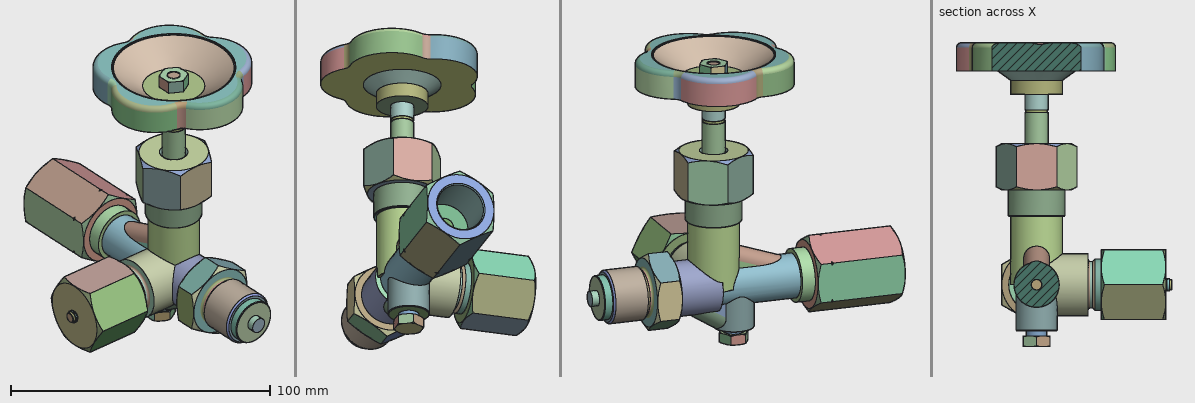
import cadquery as cq
import math


NUT_FLATS = 27.0
NUT_FACE_DIA = 26.8
THREAD_DIA = 20.95
RELIEF_RADIUS = 0.8
SMALL_CHAMFER = 0.3

INLET_END = 74.0
INLET_NUT_LENGTH = 36.0
INLET_COLLAR_LENGTH = 5.3
INLET_COLLAR_DIA = 20.95
INLET_ARM_DIA = 17.5
INLET_BORE_DIA = 18.63
INLET_MOUTH_DIA = 19.6
INLET_BORE_DEPTH = 20.0
PASSAGE_DIA = 4.0
PASSAGE_MOUTH_DIA = 7.0
NOTCH_POSITION = 43.9
NOTCH_DEPTH = 0.4
NOTCH_HALF_WIDTH = 0.4

OUTLET_ARM_DIA = 21.5
OUTLET_NUT_START = 17.8
OUTLET_NUT_LENGTH = 10.3
OUTLET_RELIEF_DIA = 18.4
OUTLET_THREAD_START = 30.8
OUTLET_THREAD_END = 44.8
OUTLET_THREAD_CHAMFER = 0.7
OUTLET_TIP_DIA = 17.5
OUTLET_TIP_END = 48.1
OUTLET_PIN_DIA = 6.0
OUTLET_END = 51.0

TEST_BOSS_DIA = 24.0
TEST_BOSS_END = 19.9
TEST_RELIEF_DIA = 18.0
TEST_THREAD_DIA = 20.0
TEST_THREAD_START = 22.6
TEST_NUT_START = 24.9
TEST_NUT_LENGTH = 25.0
TEST_PIN_DIA = 4.0
TEST_PIN_LENGTH = 2.39
TEST_PIN_CHAMFER = 0.2
TEST_RING_DIA = 4.92
TEST_RING_START = 0.5
TEST_RING_WIDTH = 0.8

STEM_DIA = 20.0
BONNET_DIA = 22.0
BONNET_BOTTOM = 26.4
BONNET_NUT_BOTTOM = 36.5
BONNET_NUT_LENGTH = 18.0
SPINDLE_DIA = 9.0
SPINDLE_GROOVE_DIA = 8.4
SPINDLE_GROOVE_BOTTOM = 66.4
SPINDLE_GROOVE_WIDTH = 1.1
SPINDLE_MOUTH_DIA = 11.0

WHEEL_TOP = 93.4
WHEEL_RIM_HEIGHT = 11.0
WHEEL_HUB_DIA = 20.0
WHEEL_HUB_BOTTOM = 73.4
WHEEL_HUB_TOP = 78.8
WHEEL_CONE_DIA = 30.0
LOBE_COUNT = 5
LOBE_RADIUS = 16.7
LOBE_OFFSET = 14.8
LOBE_BLEND_RADIUS = 4.0
WHEEL_TURN = 2.6
WHEEL_TOP_FILLET = 2.0
BOWL_TOP_DIA = 48.0
BOWL_BOTTOM_DIA = 24.0
BOWL_DEPTH = 8.5
BOWL_EDGE_CHAMFER = 0.3
WHEEL_NUT_FLATS = 10.0
WHEEL_NUT_FACE_DIA = 10.8
WHEEL_NUT_HEIGHT = 5.0
WHEEL_SCREW_DIA = 5.0
WHEEL_SCREW_RECESS = 0.4

VENT_X = -8.25
VENT_BOSS_DIA = 16.0
VENT_BOSS_BOTTOM = -17.8
VENT_NECK_DIA = 8.0
VENT_HEAD_TOP = -19.8
VENT_HEAD_HEIGHT = 4.03
VENT_HEAD_FLATS = 10.4
VENT_HEAD_FACE_DIA = 10.8

UPPER_RIB_WIDTH = 10.0
UPPER_RIB_SLOPE = 19.2
UPPER_RIB_FOOT_X = -27.6
LOWER_RIB_WIDTH = 12.0
LOWER_RIB_SLOPE = 32.0

ALONG_MINUS_X = cq.Plane(origin=(0, 0, 0), xDir=(0, 0, 1), normal=(-1, 0, 0))
ALONG_PLUS_X = cq.Plane(origin=(0, 0, 0), xDir=(0, 0, 1), normal=(1, 0, 0))
ALONG_MINUS_Y = cq.Plane(origin=(0, 0, 0), xDir=(1, 0, 0), normal=(0, -1, 0))
ALONG_PLUS_Z = cq.Plane(origin=(0, 0, 0), xDir=(1, 0, 0), normal=(0, 0, 1))
ALONG_PLUS_Z_TURNED = cq.Plane(origin=(0, 0, 0), xDir=(0, 1, 0), normal=(0, 0, 1))


def rod(plane, start, end, dia):
    """Cylinder along the plane normal between two distances from the plane."""
    return cq.Workplane(plane).workplane(offset=start).circle(dia / 2).extrude(end - start)


def cone(plane, start, end, start_dia, end_dia):
    """Cone frustum along the plane normal."""
    base = cq.Workplane(plane).workplane(offset=start).circle(start_dia / 2)
    return base.workplane(offset=end - start).circle(end_dia / 2).loft(ruled=True)


def hexagon(plane, start, length, flats, face_dia, both_ends=True):
    """Hexagon prism, one corner on the plane's x direction, with 30 degree corner chamfers."""
    corner_dia = flats / math.cos(math.pi / 6)
    drop = (corner_dia - face_dia) / 2 * math.tan(math.pi / 6)
    end = start + length
    prism = cq.Workplane(plane).workplane(offset=start).polygon(6, corner_dia).extrude(length)
    envelope = cone(plane, end - drop, end, corner_dia, face_dia)
    lower = start
    if both_ends:
        lower = start + drop
        envelope = envelope.union(cone(plane, start, lower, face_dia, corner_dia))
    envelope = envelope.union(rod(plane, lower, end - drop, corner_dia))
    return prism.intersect(envelope)


def relief(plane, start, end, dia, thread_dia):
    """Thread undercut: rounded at its start, then flat, then rising at 45 degrees to the thread."""
    rise = (thread_dia - dia) / 2
    neck = rod(plane, start, end, dia)
    foot_dia = dia + 2 * RELIEF_RADIUS
    foot = rod(plane, start, start + RELIEF_RADIUS, foot_dia)
    ring_centre = plane.origin + plane.zDir * (start + RELIEF_RADIUS)
    ring = cq.Solid.makeTorus(foot_dia / 2, RELIEF_RADIUS, ring_centre, plane.zDir)
    return neck.union(foot.cut(cq.Workplane(ring))).union(cone(plane, end - rise, end, dia, thread_dia))


def inlet_arm():
    nut_start = INLET_END - INLET_NUT_LENGTH
    collar_start = nut_start - INLET_COLLAR_LENGTH
    arm = rod(ALONG_MINUS_X, 0, nut_start, INLET_ARM_DIA)
    arm = arm.union(rod(ALONG_MINUS_X, collar_start, nut_start, INLET_COLLAR_DIA))
    nut = hexagon(ALONG_MINUS_X, nut_start, INLET_NUT_LENGTH, NUT_FLATS, NUT_FACE_DIA)
    return arm.union(nut.cut(corner_notch()))


def corner_notch():
    """V-shaped ring that nicks only the corners of the inlet nut.

    It reaches as far outside the corners as it cuts into them, so it is twice as wide at its rim.
    """
    corner_radius = NUT_FLATS / 2 / math.cos(math.pi / 6)
    outer = corner_radius + NOTCH_DEPTH
    half_width = 2 * NOTCH_HALF_WIDTH
    profile = [
        (-NOTCH_POSITION, corner_radius - NOTCH_DEPTH),
        (-NOTCH_POSITION - half_width, outer),
        (-NOTCH_POSITION + half_width, outer),
    ]
    return cq.Workplane("XZ").polyline(profile).close().revolve(360, (0, 0, 0), (1, 0, 0))


def inlet_bore():
    bottom = INLET_END - INLET_BORE_DEPTH
    mouth_depth = (INLET_MOUTH_DIA - INLET_BORE_DIA) / 2
    cone_depth = (PASSAGE_MOUTH_DIA - PASSAGE_DIA) / 2
    bore = rod(ALONG_MINUS_X, bottom, INLET_END, INLET_BORE_DIA)
    mouth_start = INLET_END - mouth_depth
    bore = bore.union(cone(ALONG_MINUS_X, mouth_start, INLET_END, INLET_BORE_DIA, INLET_MOUTH_DIA))
    bore = bore.union(cone(ALONG_MINUS_X, bottom - cone_depth, bottom, PASSAGE_DIA, PASSAGE_MOUTH_DIA))
    return bore.union(rod(ALONG_MINUS_X, 0, bottom, PASSAGE_DIA))


def outlet_arm():
    nut_end = OUTLET_NUT_START + OUTLET_NUT_LENGTH
    arm = rod(ALONG_PLUS_X, 0, OUTLET_NUT_START, OUTLET_ARM_DIA)
    arm = arm.union(hexagon(ALONG_PLUS_X, OUTLET_NUT_START, OUTLET_NUT_LENGTH, NUT_FLATS, NUT_FACE_DIA))
    arm = arm.union(relief(ALONG_PLUS_X, nut_end, OUTLET_THREAD_START, OUTLET_RELIEF_DIA, THREAD_DIA))
    thread = rod(ALONG_PLUS_X, OUTLET_THREAD_START, OUTLET_THREAD_END, THREAD_DIA)
    tip = rod(ALONG_PLUS_X, OUTLET_THREAD_END, OUTLET_TIP_END, OUTLET_TIP_DIA)
    arm = arm.union(thread.faces(">X").chamfer(OUTLET_THREAD_CHAMFER))
    arm = arm.union(tip.faces(">X").chamfer(SMALL_CHAMFER))
    return arm.union(rod(ALONG_PLUS_X, OUTLET_TIP_END, OUTLET_END, OUTLET_PIN_DIA))


def test_connection():
    nut_end = TEST_NUT_START + TEST_NUT_LENGTH
    ring_start = nut_end + TEST_RING_START
    boss = rod(ALONG_MINUS_Y, 0, TEST_BOSS_END, TEST_BOSS_DIA)
    neck = relief(ALONG_MINUS_Y, TEST_BOSS_END, TEST_THREAD_START, TEST_RELIEF_DIA, TEST_THREAD_DIA)
    boss = boss.union(neck)
    boss = boss.union(rod(ALONG_MINUS_Y, TEST_THREAD_START, TEST_NUT_START, TEST_THREAD_DIA))
    boss = boss.union(hexagon(ALONG_MINUS_Y, TEST_NUT_START, TEST_NUT_LENGTH, NUT_FLATS, NUT_FACE_DIA))
    pin = rod(ALONG_MINUS_Y, nut_end, nut_end + TEST_PIN_LENGTH, TEST_PIN_DIA)
    boss = boss.union(pin.faces("<Y").chamfer(TEST_PIN_CHAMFER))
    return boss.union(rod(ALONG_MINUS_Y, ring_start, ring_start + TEST_RING_WIDTH, TEST_RING_DIA))


def bonnet_and_spindle():
    nut_top = BONNET_NUT_BOTTOM + BONNET_NUT_LENGTH
    groove_top = SPINDLE_GROOVE_BOTTOM + SPINDLE_GROOVE_WIDTH
    mouth_depth = (SPINDLE_MOUTH_DIA - SPINDLE_DIA) / 2
    stem = rod(ALONG_PLUS_Z, 0, BONNET_BOTTOM, STEM_DIA)
    bonnet = rod(ALONG_PLUS_Z, BONNET_BOTTOM, BONNET_NUT_BOTTOM, BONNET_DIA)
    bonnet = bonnet.faces("<Z").chamfer(SMALL_CHAMFER)
    nut = hexagon(ALONG_PLUS_Z_TURNED, BONNET_NUT_BOTTOM, BONNET_NUT_LENGTH, NUT_FLATS, NUT_FACE_DIA)
    nut = nut.cut(cone(ALONG_PLUS_Z, nut_top - mouth_depth, nut_top, SPINDLE_DIA, SPINDLE_MOUTH_DIA))
    spindle = rod(ALONG_PLUS_Z, BONNET_NUT_BOTTOM, SPINDLE_GROOVE_BOTTOM, SPINDLE_DIA)
    spindle = spindle.union(rod(ALONG_PLUS_Z, SPINDLE_GROOVE_BOTTOM, groove_top, SPINDLE_GROOVE_DIA))
    spindle = spindle.union(rod(ALONG_PLUS_Z, groove_top, WHEEL_HUB_BOTTOM, SPINDLE_DIA))
    return stem.union(bonnet).union(nut).union(spindle)


def polar(radius, angle):
    return (radius * math.cos(angle), radius * math.sin(angle))


def wheel_outline(plane):
    """Five outward lobes joined by small inward blends, all tangent arcs."""
    half_pitch = math.pi / LOBE_COUNT
    side = LOBE_OFFSET * math.sin(half_pitch)
    reach = LOBE_OFFSET * math.cos(half_pitch)
    blend_centre = reach + math.sqrt((LOBE_RADIUS + LOBE_BLEND_RADIUS) ** 2 - side**2)
    share = LOBE_RADIUS / (LOBE_RADIUS + LOBE_BLEND_RADIUS)
    along = reach * (1 - share) + blend_centre * share
    across = side * (1 - share)
    tangent_radius = math.hypot(along, across)
    tangent_angle = math.atan2(across, along)

    turn = math.radians(WHEEL_TURN)
    outline = plane.moveTo(*polar(tangent_radius, turn - half_pitch + tangent_angle))
    for lobe in range(LOBE_COUNT):
        middle = turn + 2 * half_pitch * lobe
        valley = middle + half_pitch
        outline = outline.threePointArc(
            polar(LOBE_OFFSET + LOBE_RADIUS, middle), polar(tangent_radius, valley - tangent_angle)
        )
        outline = outline.threePointArc(
            polar(blend_centre - LOBE_BLEND_RADIUS, valley), polar(tangent_radius, valley + tangent_angle)
        )
    return outline.close()


def handwheel():
    rim_bottom = WHEEL_TOP - WHEEL_RIM_HEIGHT
    bowl_bottom = WHEEL_TOP - BOWL_DEPTH
    rim = wheel_outline(cq.Workplane("XY").workplane(offset=rim_bottom)).extrude(WHEEL_RIM_HEIGHT)
    rim = rim.faces(">Z").edges().fillet(WHEEL_TOP_FILLET)
    bowl_edge = WHEEL_TOP - BOWL_EDGE_CHAMFER
    bowl_dia = BOWL_TOP_DIA - 2 * BOWL_EDGE_CHAMFER
    wheel = rim.cut(cone(ALONG_PLUS_Z, bowl_bottom, WHEEL_TOP, BOWL_BOTTOM_DIA, bowl_dia))
    wheel = wheel.cut(cone(ALONG_PLUS_Z, bowl_edge, WHEEL_TOP, bowl_dia, BOWL_TOP_DIA))
    wheel = wheel.union(rod(ALONG_PLUS_Z, WHEEL_HUB_BOTTOM, WHEEL_HUB_TOP, WHEEL_HUB_DIA))
    wheel = wheel.union(cone(ALONG_PLUS_Z, WHEEL_HUB_TOP, rim_bottom, WHEEL_HUB_DIA, WHEEL_CONE_DIA))
    nut_top = bowl_bottom + WHEEL_NUT_HEIGHT
    nut = hexagon(
        ALONG_PLUS_Z, bowl_bottom, WHEEL_NUT_HEIGHT, WHEEL_NUT_FLATS, WHEEL_NUT_FACE_DIA, both_ends=False
    )
    nut = nut.cut(rod(ALONG_PLUS_Z, nut_top - WHEEL_SCREW_RECESS, nut_top, WHEEL_SCREW_DIA))
    return wheel.union(nut)


def vent():
    plane = cq.Plane(origin=(VENT_X, 0, 0), xDir=(1, 0, 0), normal=(0, 0, -1))
    boss = rod(plane, 0, -VENT_BOSS_BOTTOM, VENT_BOSS_DIA).faces("<Z").chamfer(SMALL_CHAMFER)
    boss = boss.union(rod(plane, -VENT_BOSS_BOTTOM, -VENT_HEAD_TOP, VENT_NECK_DIA))
    return boss.union(hexagon(plane, -VENT_HEAD_TOP, VENT_HEAD_HEIGHT, VENT_HEAD_FLATS, VENT_HEAD_FACE_DIA))


def rib(foot, slope, length, width, side):
    """Rib with a half-round crest that starts at `foot` and climbs `slope` degrees along +X.

    `side` is 1 for a crest on the upper side and -1 for a crest on the lower side.
    """
    angle = math.radians(slope)
    section = cq.Plane(origin=foot, xDir=(0, 1, 0), normal=(math.cos(angle), 0, math.sin(angle)))
    half = width / 2
    shoulder = -side * half
    root = -side * width
    outline = cq.Workplane(section).moveTo(-half, root).lineTo(-half, shoulder)
    outline = outline.threePointArc((0, 0), (half, shoulder)).lineTo(half, root).close()
    return outline.extrude(length)


def upper_rib():
    foot = (UPPER_RIB_FOOT_X, 0, INLET_ARM_DIA / 2)
    length = -UPPER_RIB_FOOT_X / math.cos(math.radians(UPPER_RIB_SLOPE))
    return rib(foot, UPPER_RIB_SLOPE, length, UPPER_RIB_WIDTH, 1)


def lower_rib():
    """Rib from the bottom edge of the vent boss up to the outlet arm."""
    slope = math.tan(math.radians(LOWER_RIB_SLOPE))
    bottom = VENT_BOSS_BOTTOM + SMALL_CHAMFER
    rise = -bottom - OUTLET_ARM_DIA / 2
    hidden_run = VENT_BOSS_DIA / 4
    run = hidden_run + rise / slope
    foot = (VENT_X + VENT_BOSS_DIA / 2 - hidden_run, 0, bottom - slope * hidden_run)
    bar = rib(foot, LOWER_RIB_SLOPE, math.hypot(run, run * slope), LOWER_RIB_WIDTH, -1)
    return bar.cut(rod(ALONG_PLUS_Z, foot[2], bottom, INLET_END))


result = inlet_arm()
for feature in (
    outlet_arm(),
    test_connection(),
    bonnet_and_spindle(),
    handwheel(),
    vent(),
    upper_rib(),
    lower_rib(),
):
    result = result.union(feature)
result = result.cut(inlet_bore())